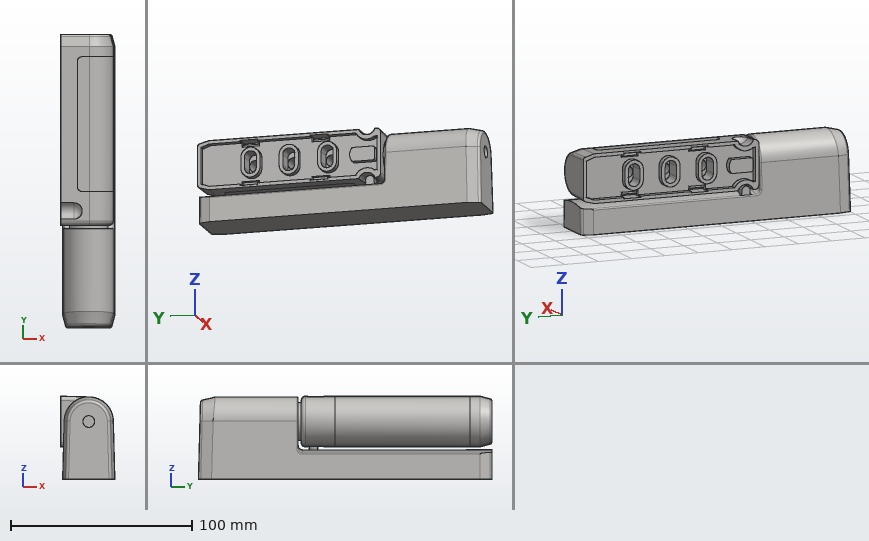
import cadquery as cq
import math


BARREL_R = 13.6
DRAFT = 1.5
TIP_SLOPE = 15
TIP_FILLET = 1.8
TRIM_MARGIN = 8.1
PICK_MARGIN = 0.2

BASE_LENGTH = 162
BASE_FOOT = 31.9
BASE_TIP = 7.3
FREE_TIP = 6.6
SEAT_LENGTH = 107
ARM_CROWN_Z = -15.5
ARM_EDGE_Z = -17.3
ARM_EDGE_X = 13.8
SEAT_CORNER_R = 2.5
SEAT_EDGE_R = 0.8
AXLE_HOLE_D = 6.5
AXLE_HOLE_DEPTH = 9.7

NOTCH_R = 4.9
NOTCH_DEPTH = 3.2
NOTCH_Y = -97.4
NOTCH_STRAIGHT = 7.5
NOTCH_WALL = 2.6
NUB_R = 2.5
NUB_Y = -98.5
NUB_Z = -14.5
NUB_FRONT_X = -13.5
NUB_FOOT_R = 1.6

LEAF_LENGTH = 105.3
LEAF_BACK = 15.5
LEAF_END_FILLET = 2.5
WALL = 2.0
POCKET_DEPTH = 3.7
END_WALL_DEPTH = 4.4
SLOT_YS = [-30.5, -52.5, -74.5]
SLOT_WIDTH = 6.8
SLOT_HEIGHT = 12.8
SLOT_DEPTH = 9.7
SLOT_WALL = 2.1
SCREW_HOLE_D = 6.6
STOP_LENGTH = 14.4
STOP_HEIGHT = 8.0
STOP_RISE = POCKET_DEPTH
STOP_END_GAP = 1.5
STOP_BOW = 1.5
STOP_END_R = 1.3

COVER_START = 12.3
COVER_LENGTH = 74.4
COVER_EDGE_X = -6.3
COVER_CORNER_R = 2.8
COVER_THICKNESS = 2.6
CLIP_YS = [-29.5, -69.8]
CLIP_LENGTH = 10.0
CLIP_INNER_Z = 9.9
CLIP_THICKNESS = 2.6
CLIP_BEVEL = 1.0
CLIP_SETBACK = 2.5
CLIP_OVERLAP = 1.6
WINDOW_PLAY = 0.3

BUSH_R = 10.5

draft_slope = math.tan(math.radians(DRAFT))
leaf_half = BARREL_R / math.cos(math.radians(DRAFT)) + LEAF_BACK * draft_slope
floor_x = -LEAF_BACK + POCKET_DEPTH


def box(x0, x1, y0, y1, z0, z1):
    """Box between two opposite corners."""
    return cq.Workplane("XY").box(x1 - x0, y1 - y0, z1 - z0, centered=False).translate((x0, y0, z0))


def barrel_outline(y, radius, reach):
    """Round-topped outline at the given Y, with drafted sides going down to Z = -reach."""
    tangent_x = radius * math.cos(math.radians(DRAFT))
    tangent_z = radius * math.sin(math.radians(DRAFT))
    foot_x = tangent_x + (reach + tangent_z) * draft_slope
    return (
        cq.Workplane("XZ", origin=(0, y, 0))
        .moveTo(-foot_x, -reach)
        .lineTo(-tangent_x, tangent_z)
        .threePointArc((0, radius), (tangent_x, tangent_z))
        .lineTo(foot_x, -reach)
        .close()
    )


def tip_envelope(end_y, reach, tip_length, tilt):
    """Rounded envelope that narrows from +Y down to end_y and leans back by tilt degrees."""
    slope = math.tan(math.radians(TIP_SLOPE))
    spread_length = BASE_LENGTH + TRIM_MARGIN
    spread = spread_length * slope
    wide_r = BARREL_R + spread - tip_length * slope
    wide_outline = barrel_outline(end_y + spread_length, wide_r, reach + spread)
    envelope = wide_outline.extrude(spread_length, taper=TIP_SLOPE)
    envelope = envelope.faces("<Y").edges().fillet(TIP_FILLET)
    return envelope.rotate((0, end_y, -BASE_FOOT), (1, end_y, -BASE_FOOT), -tilt)


def barrel(length, reach):
    """Barrel from Y = 0 to Y = -length with a tapered, rounded tip at Y = 0."""
    envelope = tip_envelope(0, reach, FREE_TIP, 0).mirror("XZ")
    return barrel_outline(0, BARREL_R, reach).extrude(length).intersect(envelope)



def seat_opening():
    """Space above the arm: crowned floor, plain wall and a rounded corner between them."""
    wide = 2 * BARREL_R
    crown_rise = ARM_CROWN_Z - ARM_EDGE_Z
    crown_r = (ARM_EDGE_X**2 + crown_rise**2) / (2 * crown_rise)
    wide_z = ARM_CROWN_Z - crown_r + math.sqrt(crown_r**2 - wide**2)
    opening = (
        cq.Workplane("XZ", origin=(0, TRIM_MARGIN, 0))
        .moveTo(-wide, wide_z)
        .threePointArc((0, ARM_CROWN_Z), (wide, wide_z))
        .lineTo(wide, wide)
        .lineTo(-wide, wide)
        .close()
        .extrude(SEAT_LENGTH + TRIM_MARGIN)
    )
    return opening.faces("<Y").edges("<Z").fillet(SEAT_CORNER_R)


def detent_nub():
    """Round-topped nub with a flat front, flared foot and round rear end."""
    foot = NUB_R + NUB_FOOT_R
    flare_z = ARM_EDGE_Z + NUB_FOOT_R
    bend = NUB_FOOT_R * (1 - math.sqrt(0.5))
    rear_x = -LEAF_BACK + NOTCH_STRAIGHT
    ridge = (
        cq.Workplane("YZ", origin=(NUB_FRONT_X, NUB_Y, 0))
        .moveTo(-foot, ARM_EDGE_Z)
        .threePointArc((-NUB_R - bend, ARM_EDGE_Z + bend), (-NUB_R, flare_z))
        .lineTo(-NUB_R, NUB_Z)
        .threePointArc((0, NUB_Z + NUB_R), (NUB_R, NUB_Z))
        .lineTo(NUB_R, flare_z)
        .threePointArc((NUB_R + bend, ARM_EDGE_Z + bend), (foot, ARM_EDGE_Z))
        .close()
        .extrude(rear_x - NUB_FRONT_X)
    )
    post = (
        cq.Workplane("XY", origin=(rear_x, NUB_Y, ARM_EDGE_Z))
        .circle(NUB_R)
        .extrude(NUB_Z - ARM_EDGE_Z)
    )
    dome = cq.Workplane("XY").sphere(NUB_R).translate((rear_x, NUB_Y, NUB_Z))
    return ridge.union(post).union(dome)


def make_base():
    reach = BASE_FOOT + TRIM_MARGIN
    body = barrel(BASE_LENGTH + TRIM_MARGIN, reach)
    body = body.intersect(tip_envelope(-BASE_LENGTH, reach, BASE_TIP, DRAFT))
    below_foot = box(-reach, reach, -2 * BASE_LENGTH, BASE_LENGTH, -2 * reach, -BASE_FOOT)
    body = body.cut(below_foot).cut(seat_opening())
    around_seat_wall = cq.selectors.BoxSelector(
        (-BARREL_R, -SEAT_LENGTH - PICK_MARGIN, ARM_EDGE_Z),
        (BARREL_R, -SEAT_LENGTH + PICK_MARGIN, BARREL_R),
    )
    body = body.faces(around_seat_wall).edges().fillet(SEAT_EDGE_R)
    axle_hole = (
        cq.Workplane("XZ", origin=(0, AXLE_HOLE_DEPTH - BASE_LENGTH, 0))
        .circle(AXLE_HOLE_D / 2)
        .extrude(AXLE_HOLE_DEPTH)
    )
    return body.cut(axle_hole).union(detent_nub())



def leaf_blank():
    """Barrel lying on its side, with its flat back at -X and a rounded inner end."""
    body = barrel(LEAF_LENGTH, LEAF_BACK + TRIM_MARGIN)
    body = body.faces("<Y").edges().fillet(LEAF_END_FILLET)
    body = body.rotate((0, 0, 0), (0, 1, 0), 90)
    behind_back = box(-2 * LEAF_BACK, -LEAF_BACK, -BASE_LENGTH, BASE_LENGTH, -2 * LEAF_BACK, 2 * LEAF_BACK)
    return body.cut(behind_back)


def notch(side, radius):
    """Round-ended channel along X, centred just outside the leaf's top (side 1) or bottom (side -1)."""
    centre_z = side * (leaf_half + NOTCH_R - NOTCH_DEPTH)
    start_x = -LEAF_BACK - TRIM_MARGIN
    channel = (
        cq.Workplane("YZ", origin=(start_x, NOTCH_Y, centre_z))
        .circle(radius)
        .extrude(NOTCH_STRAIGHT + TRIM_MARGIN)
    )
    round_end = cq.Workplane("XY").sphere(radius).translate((NOTCH_STRAIGHT - LEAF_BACK, NOTCH_Y, centre_z))
    return channel.union(round_end)


def back_pocket():
    """Pocket in the mounting face, following the leaf outline and keeping a wall around the notches."""
    tip_inset = FREE_TIP * math.tan(math.radians(TIP_SLOPE))
    half_z = leaf_half - WALL
    pocket = (
        cq.Workplane("YZ", origin=(-LEAF_BACK, 0, 0))
        .moveTo(-WALL, half_z - tip_inset)
        .lineTo(-FREE_TIP, half_z)
        .lineTo(WALL - LEAF_LENGTH, half_z)
        .lineTo(WALL - LEAF_LENGTH, -half_z)
        .lineTo(-FREE_TIP, -half_z)
        .lineTo(-WALL, tip_inset - half_z)
        .close()
        .extrude(POCKET_DEPTH)
    )
    inner_z = leaf_half - END_WALL_DEPTH
    for side in (1, -1):
        thick_wall = box(-LEAF_BACK, floor_x, -LEAF_LENGTH, NOTCH_Y, inner_z, leaf_half)
        pocket = pocket.cut(notch(side, NOTCH_R + NOTCH_WALL))
        pocket = pocket.cut(thick_wall if side > 0 else thick_wall.mirror("XY"))
    return pocket


def slot_block(y, width, height, depth):
    """Upright obround block starting at the mounting face."""
    return (
        cq.Workplane("YZ", origin=(-LEAF_BACK, y, 0))
        .slot2D(height, width, 90)
        .extrude(depth)
    )


def stop_block():
    """Block on the pocket floor next to the inner end."""
    end_y = WALL + STOP_END_GAP - LEAF_LENGTH
    side_z = STOP_HEIGHT / 2
    tip_y = end_y + STOP_LENGTH
    block = (
        cq.Workplane("YZ", origin=(floor_x - STOP_RISE, 0, 0))
        .moveTo(end_y, -side_z)
        .lineTo(tip_y - STOP_BOW, -side_z)
        .threePointArc((tip_y, 0), (tip_y - STOP_BOW, side_z))
        .lineTo(end_y, side_z)
        .close()
        .extrude(STOP_RISE)
    )
    return block.edges("|X and <Y").fillet(STOP_END_R)


def at_clip_places(upper_bar):
    """Solids made from one bar above the axis, repeated at every clip place on both sides."""
    both_bars = upper_bar.union(upper_bar.mirror("XY"))
    places = cq.Workplane("XY")
    for y in CLIP_YS:
        places = places.union(both_bars.translate((0, y, 0)))
    return places


def clip_windows():
    """Openings from the mounting face through the pocket floor that hold the cover clips."""
    outer_z = CLIP_INNER_Z + CLIP_THICKNESS + WINDOW_PLAY
    return at_clip_places(
        box(-LEAF_BACK, COVER_EDGE_X, -CLIP_LENGTH / 2, CLIP_LENGTH / 2, CLIP_INNER_Z, outer_z)
    )


def make_leaf():
    body = leaf_blank().cut(back_pocket())
    for y in SLOT_YS:
        body = body.union(
            slot_block(y, SLOT_WIDTH + 2 * SLOT_WALL, SLOT_HEIGHT + 2 * SLOT_WALL, POCKET_DEPTH)
        )
        screw_hole = (
            cq.Workplane("YZ", origin=(-LEAF_BACK, y, 0))
            .circle(SCREW_HOLE_D / 2)
            .extrude(LEAF_BACK + BARREL_R)
        )
        body = body.cut(slot_block(y, SLOT_WIDTH, SLOT_HEIGHT, SLOT_DEPTH)).cut(screw_hole)
    for side in (1, -1):
        body = body.cut(notch(side, NOTCH_R))
    return body.union(stop_block()).cut(clip_windows()).cut(cover_shell()).cut(cover_clips())



def cover_shell():
    """Rounded shell set flush into the curved front of the leaf."""
    end_y = -COVER_START - COVER_LENGTH
    reach = box(COVER_EDGE_X, 2 * BARREL_R, end_y, -COVER_START, -2 * BARREL_R, 2 * BARREL_R)
    reach = reach.edges("|Z and <X").fillet(COVER_CORNER_R)
    core = (
        barrel_outline(0, BARREL_R - COVER_THICKNESS, LEAF_BACK)
        .extrude(LEAF_LENGTH)
        .rotate((0, 0, 0), (0, 1, 0), 90)
    )
    return leaf_blank().intersect(reach).cut(core)


def cover_clips():
    """Four clips that reach from the cover edges into the windows of the leaf."""
    outer_z = CLIP_INNER_Z + CLIP_THICKNESS
    clip = box(
        floor_x + CLIP_SETBACK,
        COVER_EDGE_X + CLIP_OVERLAP,
        -CLIP_LENGTH / 2,
        CLIP_LENGTH / 2,
        CLIP_INNER_Z,
        outer_z,
    )
    return at_clip_places(clip.edges("<X and >Z").chamfer(CLIP_BEVEL))


def make_cover():
    return cover_shell().union(cover_clips())



def make_bush():
    """Round spacer between the leaf and the base."""
    return (
        cq.Workplane("XZ", origin=(0, -LEAF_LENGTH, 0))
        .circle(BUSH_R)
        .extrude(SEAT_LENGTH - LEAF_LENGTH)
    )


base = make_base()
leaf = make_leaf()
cover = make_cover()
bush = make_bush()

result = cq.Compound.makeCompound([base.val(), leaf.val(), cover.val(), bush.val()])